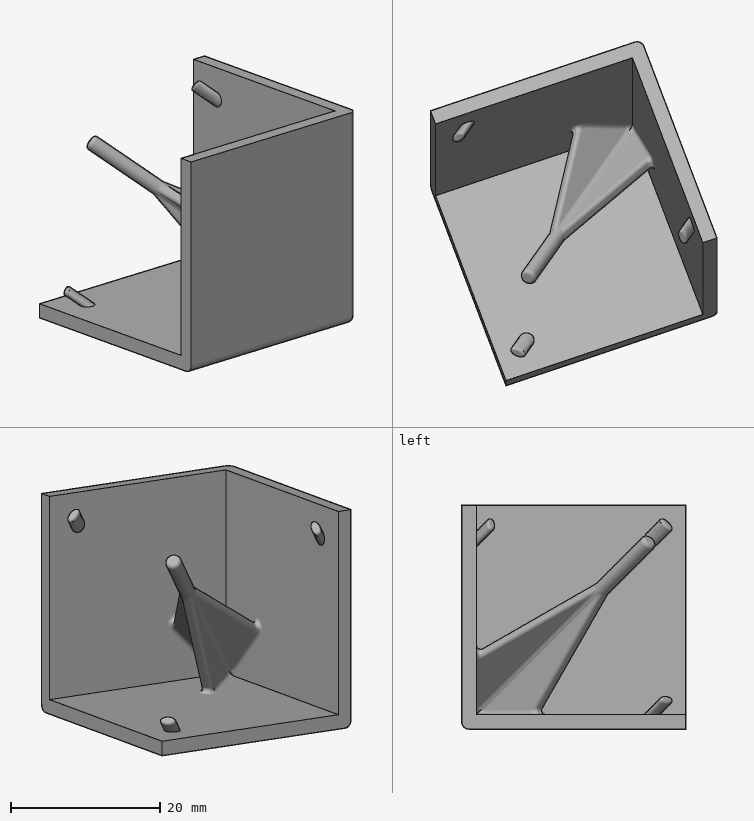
import cadquery as cq
import math


side = 30.0
wall = 2.0
corner_radius = 1.0

spike_diameter = 2.1
spike_tip = 23.2
edge_radius = 0.5

gusset_thickness = 1.5
gusset_foot = 8.0
gusset_top = 18.8

pin_diameter = 2.1
pin_edge_inset = 4.5
pin_height = 2.0
pin_tip_radius = 0.3

root_reach = 1.5 * gusset_foot
tolerance = 0.003

inner_side = side - wall
diagonal = cq.Vector(1, 1, 1)
level = cq.Vector(1, -1, 0)


def around_diagonal(body):
    """The three copies of a body, one per wall."""
    return [body.rotate((0, 0, 0), diagonal.toTuple(), turn) for turn in (0, 120, 240)]


def make_walls():
    block = cq.Workplane("XY").box(side, side, side, centered=False)
    rounded = block.edges("(<X and <Y) or (<X and <Z) or (<Y and <Z)").fillet(corner_radius)
    rounded = rounded.translate((-wall, -wall, -wall))
    return rounded.cut(cq.Workplane("XY").box(side, side, side, centered=False))


def make_spike():
    plane = cq.Plane(origin=(0, 0, 0), xDir=level, normal=diagonal)
    spike = cq.Workplane(plane).circle(spike_diameter / 2).extrude(spike_tip * math.sqrt(3))
    return spike.faces(cq.selectors.DirectionMinMaxSelector(diagonal)).edges().fillet(edge_radius)


def make_gusset():
    plane = cq.Plane(origin=(0, 0, 0), xDir=(1, 1, 0), normal=level)
    foot = (gusset_foot * math.sqrt(2), 0)
    top = (gusset_top * math.sqrt(2), gusset_top)
    gusset = cq.Workplane(plane).polyline([(0, 0), foot, top]).close()
    gusset = gusset.extrude(gusset_thickness / 2, both=True)
    ridge = plane.toWorldCoords(top) - plane.toWorldCoords(foot)
    return gusset.edges(cq.selectors.ParallelDirSelector(ridge)).fillet(edge_radius)


def make_pin():
    base = inner_side - pin_edge_inset
    tip = cq.Vector(base + pin_height, base + pin_height, pin_height)
    embedded_length = (pin_height + wall / 2) * math.sqrt(3)
    plane = cq.Plane(origin=tip.toTuple(), xDir=level, normal=diagonal)
    half_width = pin_diameter / 2
    pin = cq.Workplane(plane).ellipse(half_width, half_width / math.sqrt(3)).extrude(-embedded_length)
    return pin.faces(cq.selectors.DirectionMinMaxSelector(diagonal)).edges().fillet(pin_tip_radius)


def round_wall_roots(body):
    """Fillet the joints between the gussets and the walls."""

    def lies_on_wall(edge):
        x, y, z = edge.Center().toTuple()
        return abs(min(x, y, z)) < tolerance and max(x, y, z) < root_reach

    roots = body.edges().filter(lies_on_wall)
    return roots.fillet(edge_radius)


def round_spike_roots(body):
    """Fillet the long joints where the gusset sides run into the spike."""

    def lies_below_gusset_top(edge):
        return max(edge.Center().toTuple()) < gusset_top

    along_spike = body.edges(cq.selectors.ParallelDirSelector(diagonal))
    return along_spike.filter(lies_below_gusset_top).fillet(edge_radius)


body = make_walls().union(make_spike())
for gusset in around_diagonal(make_gusset()):
    body = body.union(gusset)
body = round_wall_roots(body)
body = round_spike_roots(body)
for pin in around_diagonal(make_pin()):
    body = body.union(pin)

result = body.rotate((0, 0, 0), (0, 0, 1), 180)